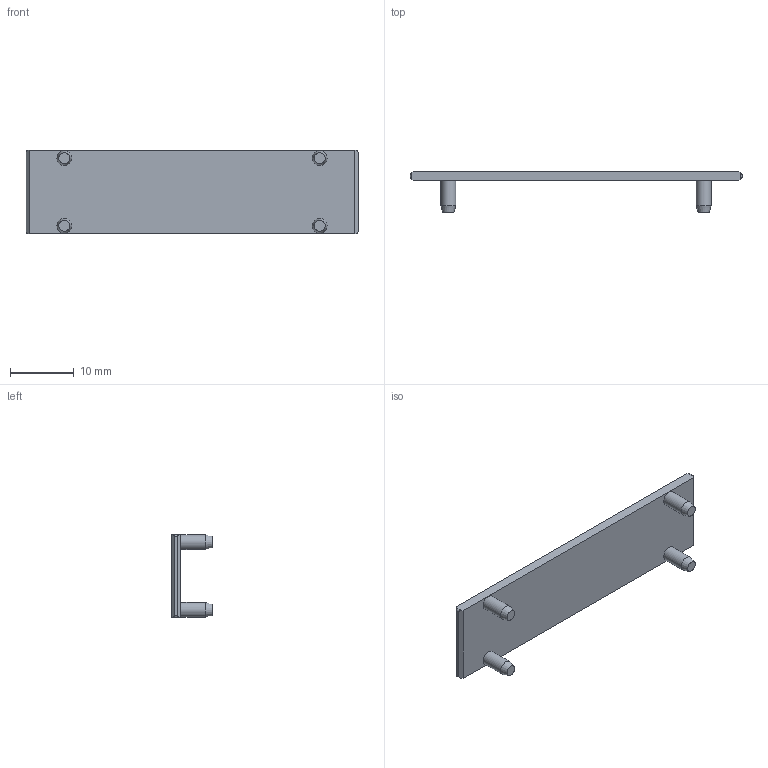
import cadquery as cq
import math

plate_length = 52.0
plate_thickness = 1.5
plate_height = 13.0
end_chamfer = 0.5
end_rim_radius = 0.3

pin_diameter = 2.3
pin_tip_diameter = 1.7
pin_length = 5.0
pin_taper_angle = 15.0
pin_taper_length = (pin_diameter - pin_tip_diameter) / 2 / math.tan(math.radians(pin_taper_angle))
pin_spacing_x = 40.0
pin_spacing_z = 10.6


def make_plate():
    """Plate with its pin-side face on Y = 0, chamfered ends and rounded short edges on the end faces."""
    plate = cq.Workplane("XY").box(plate_length, plate_thickness, plate_height)
    plate = plate.edges("|Z").chamfer(end_chamfer)
    for end in ("<X", ">X"):
        plate = plate.faces(end).edges("|Y").fillet(end_rim_radius)
    return plate.translate((0, plate_thickness / 2, 0))


def make_pin():
    """Round pin along -Y with a tapered tip, revolved about the Y axis.

    Its root reaches half way into the plate so that the two bodies fuse.
    """
    radius = pin_diameter / 2
    root_y = plate_thickness / 2
    profile = [
        (0, root_y),
        (radius, root_y),
        (radius, pin_taper_length - pin_length),
        (pin_tip_diameter / 2, -pin_length),
        (0, -pin_length),
    ]
    return cq.Workplane("XY").polyline(profile).close().revolve(360, (0, 0), (0, 1))


result = make_plate()
pin = make_pin()
for side_x in (-1, 1):
    for side_z in (-1, 1):
        pin_position = (side_x * pin_spacing_x / 2, 0, side_z * pin_spacing_z / 2)
        result = result.union(pin.translate(pin_position))